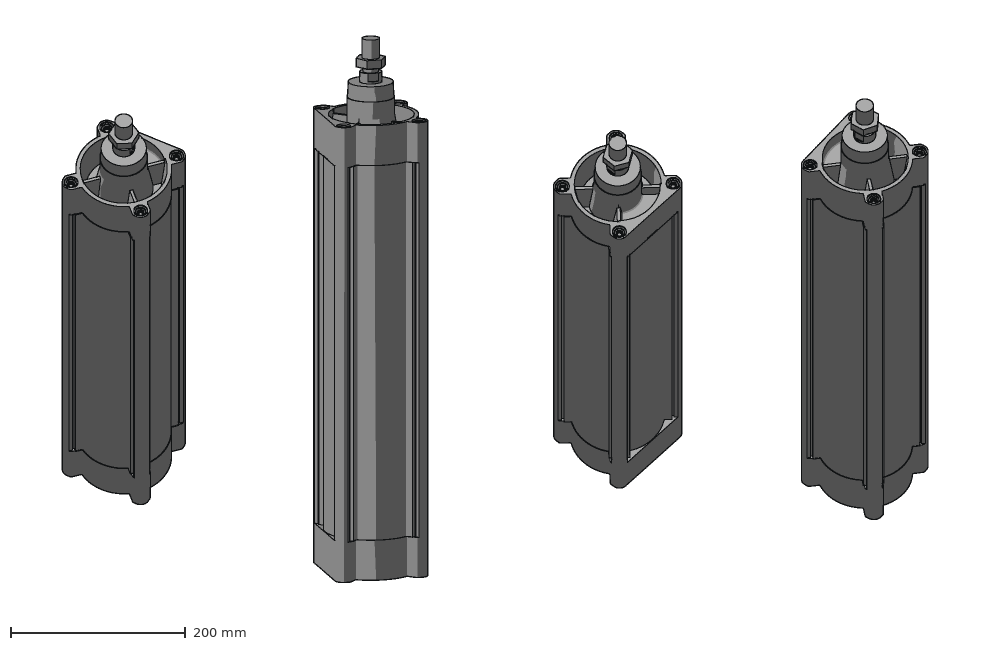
import cadquery as cq
import math


TOTAL_HEIGHT = 631.5
SIDE = 110.0

COLLAR_HEIGHT = 5.0
CAP_HEIGHT = 47.5
HEAD_TOP = 542.0
GUIDE_STEP = 562.5
GUIDE_TOP = 580.5
FOOT_JOINT = COLLAR_HEIGHT + CAP_HEIGHT
HEAD_JOINT = HEAD_TOP - CAP_HEIGHT

CAP_RADIUS = SIDE / 2
CORNER_RADIUS = 10.0
CORNER_CENTER = CAP_RADIUS - CORNER_RADIUS
CAP_WEB_CORNER = 40.0
WEB_CORNER_FILLET = 4.0
WEB_ROOT_FILLET = 1.0

BARREL_RADIUS = 54.0
WEB_WIDTH = 24.0
WEB_END = 62.0
GROOVE_WIDTH = 2.5
GROOVE_FLOOR_WIDTH = 14.0
LOBE_CORNER = 42.0

GUIDE_DIAMETER = 55.0
GUIDE_TIP_BASE_DIAMETER = 53.5
GUIDE_TIP_DIAMETER = 52.0

RECESS_DIAMETER = 100.0
RECESS_DEPTH = 35.0
PORT_SIDE_DEPTH = 16.5
PORT_WALL_INSET = 1.0
PORT_FLOOR_FILLET = 2.5
DRAFT = 0.18
RIB_DROP = 5.0
RIB_TOP_WIDTH = 4.0

SCREW_STEPS = [(16.0, 2.0), (12.0, 4.0), (8.0, 5.5), (5.4, 7.5)]

ROD_DIAMETER = 25.0
ROD_FLAT_WIDTH = 22.0
ROD_FLAT_BOTTOM = 583.0
ROD_SHOULDER = 592.5
NECK_DIAMETER = 18.0
THREAD_DIAMETER = 20.0
THREAD_BOTTOM = 597.0
THREAD_CHAMFER = (THREAD_DIAMETER - NECK_DIAMETER) / 2
NUT_WIDTH = 30.0
NUT_TOP = 609.0
NUT_HEIGHT = 10.0

QUARTER_TURNS = [0, 90, 180, 270]
DIAGONALS = [45, 135, 225, 315]
EDGE_TOLERANCE = 0.05


def cylinder(diameter, bottom, top):
    return cq.Workplane("XY").workplane(offset=bottom).circle(diameter / 2).extrude(top - bottom)


def screw_corner(bottom, top, web_corner):
    """Rounded corner toward +X and +Y on a web that runs in to the axis.

    The web sides leave the square outline at web_corner, measured along the outline from its middle.
    """
    tip = CORNER_CENTER + CORNER_RADIUS * math.sqrt(0.5)
    inner = CAP_RADIUS - web_corner
    return (
        cq.Workplane("XY").workplane(offset=bottom)
        .moveTo(0, inner)
        .lineTo(web_corner, CAP_RADIUS)
        .lineTo(CORNER_CENTER, CAP_RADIUS)
        .threePointArc((tip, tip), (CAP_RADIUS, CORNER_CENTER))
        .lineTo(CAP_RADIUS, web_corner)
        .lineTo(inner, 0)
        .lineTo(0, 0)
        .close()
        .extrude(top - bottom)
    )


def turned(body, angle):
    return body.rotate((0, 0, 0), (0, 0, 1), angle)


def round_upright_edges(body, distance, radius):
    """Round the edges along Z that lie at the given distance from the axis."""
    edges = body.edges("|Z").filter(
        lambda edge: abs(math.hypot(edge.Center().x, edge.Center().y) - distance) < EDGE_TOLERANCE
    )
    return body.newObject(edges.vals()).fillet(radius)


def make_cap(bottom):
    """Round end cap with four screw corners and a flat port side toward +Y."""
    top = bottom + CAP_HEIGHT
    cap = cylinder(2 * CAP_RADIUS, bottom, top)
    for angle in QUARTER_TURNS:
        cap = cap.union(turned(screw_corner(bottom, top, CAP_WEB_CORNER), angle))
    port_side = (
        cq.Workplane("XY").workplane(offset=bottom)
        .center(0, CAP_RADIUS / 2)
        .rect(2 * CORNER_CENTER, CAP_RADIUS)
        .extrude(CAP_HEIGHT)
        .cut(cylinder(2 * CAP_RADIUS, bottom, top))
    )
    port_side = port_side.intersect(
        cq.Workplane("XY").workplane(offset=bottom)
        .polyline([(0, 0), (SIDE, SIDE), (-SIDE, SIDE)])
        .close()
        .extrude(CAP_HEIGHT)
    )
    cap = cap.union(port_side)
    cap = round_upright_edges(cap, CAP_RADIUS, WEB_ROOT_FILLET)
    return round_upright_edges(cap, math.hypot(CAP_WEB_CORNER, CAP_RADIUS), WEB_CORNER_FILLET)


def barrel_corner():
    """Screw corner of the barrel toward +X and +Y: a wide web, a groove on each side, then a lobe."""
    length = HEAD_JOINT - FOOT_JOINT
    plane = cq.Workplane("XY").workplane(offset=FOOT_JOINT)
    lobe = screw_corner(FOOT_JOINT, HEAD_JOINT, LOBE_CORNER)
    web = plane.center(WEB_END / 2, 0).rect(WEB_END, WEB_WIDTH).extrude(length)
    groove_offset = (GROOVE_FLOOR_WIDTH + WEB_WIDTH) / 2
    grooves = (
        plane.pushPoints([(WEB_END + GROOVE_WIDTH / 2, side * groove_offset) for side in (-1, 1)])
        .rect(GROOVE_WIDTH, WEB_WIDTH)
        .extrude(length)
    )
    return lobe.union(turned(web, DIAGONALS[0])).cut(turned(grooves, DIAGONALS[0]))


def make_barrel():
    barrel = cylinder(2 * BARREL_RADIUS, FOOT_JOINT, HEAD_JOINT)
    for angle in QUARTER_TURNS:
        barrel = barrel.union(turned(barrel_corner(), angle))
    return round_upright_edges(barrel, BARREL_RADIUS, WEB_ROOT_FILLET)


def recess_ring(inner, outer, depth, inset):
    """Ring cut into the head cap; its walls close in by the inset from the face to the floor."""
    floor = HEAD_TOP - depth
    return (
        cq.Workplane("XZ")
        .polyline([(inner, HEAD_TOP), (outer, HEAD_TOP), (outer - inset, floor), (inner + inset, floor)])
        .close()
        .revolve(360, (0, 0), (0, 1))
    )


def rib(angle):
    """Drafted rib that runs out from the axis, lower than the cap face."""
    top = HEAD_TOP - RIB_DROP
    bottom = HEAD_TOP - RECESS_DEPTH
    half_top = RIB_TOP_WIDTH / 2
    half_bottom = half_top + DRAFT * (top - bottom)
    profile = (
        cq.Workplane("YZ")
        .polyline([(-half_top, top), (half_top, top), (half_bottom, bottom), (-half_bottom, bottom)])
        .close()
        .extrude(CAP_RADIUS)
    )
    return turned(profile, angle)


def make_recess():
    """Recess cut: drafted on three sides, shallow and straight on the port side, around four ribs."""
    inner = GUIDE_DIAMETER / 2
    outer = RECESS_DIAMETER / 2
    port_sector = (
        cq.Workplane("XY").workplane(offset=HEAD_TOP - RECESS_DEPTH)
        .polyline([(0, 0), (SIDE, SIDE), (-SIDE, SIDE)])
        .close()
        .extrude(RECESS_DEPTH)
    )
    deep = recess_ring(inner, outer, RECESS_DEPTH, DRAFT * RECESS_DEPTH).cut(port_sector)
    shallow = recess_ring(inner, outer - PORT_WALL_INSET, PORT_SIDE_DEPTH, 0)
    shallow = shallow.faces("<Z").edges().fillet(PORT_FLOOR_FILLET).intersect(port_sector)
    recess = deep.union(shallow)
    for angle in DIAGONALS:
        recess = recess.cut(rib(angle))
    return recess


def make_guide():
    """Collar that carries the rod, with a slightly slimmer tapered tip."""
    base = cylinder(GUIDE_DIAMETER, HEAD_JOINT, GUIDE_STEP)
    tip = (
        cq.Workplane("XY").workplane(offset=GUIDE_STEP).circle(GUIDE_TIP_BASE_DIAMETER / 2)
        .workplane(offset=GUIDE_TOP - GUIDE_STEP).circle(GUIDE_TIP_DIAMETER / 2)
        .loft()
    )
    return base.union(tip)


def make_screw_holes():
    """Stepped screw recess in each corner of the head cap."""
    corners = [(x, y) for x in (-CORNER_CENTER, CORNER_CENTER) for y in (-CORNER_CENTER, CORNER_CENTER)]
    holes = cq.Workplane("XY")
    for diameter, depth in SCREW_STEPS:
        step = cq.Workplane("XY").workplane(offset=HEAD_TOP).pushPoints(corners).circle(diameter / 2)
        holes = holes.add(step.extrude(-depth))
    return holes.combine()


def make_housing():
    housing = make_barrel().union(make_cap(COLLAR_HEIGHT)).union(make_cap(HEAD_JOINT))
    housing = housing.cut(make_recess()).cut(make_screw_holes()).union(make_guide())
    housing = housing.union(cylinder(GUIDE_DIAMETER, 0, COLLAR_HEIGHT))
    return housing.cut(cylinder(ROD_DIAMETER, HEAD_JOINT, GUIDE_TOP))


def make_rod():
    """Rod seated in the guide, with wrench flats, an undercut and a threaded end."""
    rod = cylinder(ROD_DIAMETER, HEAD_JOINT, ROD_SHOULDER)
    flats = (
        cq.Workplane("XY").workplane(offset=ROD_FLAT_BOTTOM)
        .rect(ROD_FLAT_WIDTH, ROD_DIAMETER)
        .extrude(ROD_SHOULDER - ROD_FLAT_BOTTOM)
    )
    shank = cylinder(ROD_DIAMETER, ROD_FLAT_BOTTOM, ROD_SHOULDER)
    rod = rod.cut(shank.cut(flats))
    neck = cylinder(NECK_DIAMETER, ROD_SHOULDER, THREAD_BOTTOM)
    thread = cylinder(THREAD_DIAMETER, THREAD_BOTTOM, TOTAL_HEIGHT).faces("<Z").chamfer(THREAD_CHAMFER)
    return rod.union(neck).union(thread)


def make_nut():
    """Hexagon nut with corners toward +Y and -Y."""
    return (
        cq.Workplane("XY").workplane(offset=NUT_TOP - NUT_HEIGHT)
        .polygon(6, NUT_WIDTH, circumscribed=True)
        .circle(THREAD_DIAMETER / 2)
        .extrude(NUT_HEIGHT)
    )


housing = make_housing()
rod = make_rod()
nut = make_nut()
result = cq.Compound.makeCompound([housing.val(), rod.val(), nut.val()])